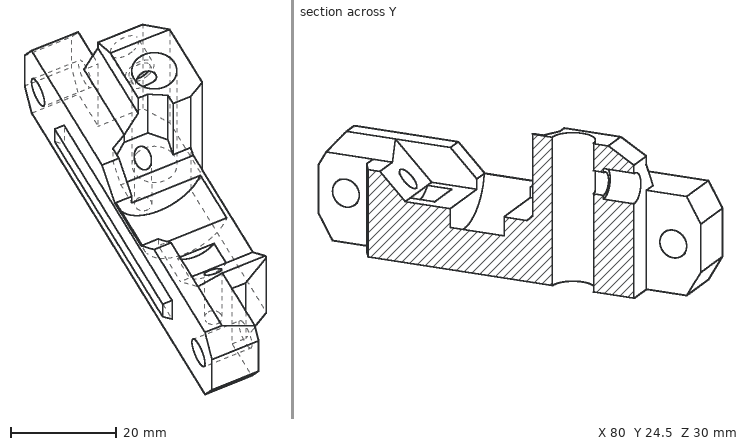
import cadquery as cq
import math


STEEP = math.tan(math.radians(60))

PLATE_LENGTH = 80.0
PLATE_HEIGHT = 20.0
PLATE_DEPTH = 9.9
CORNER_WIDTH = 3.0
CORNER_HEIGHT = CORNER_WIDTH * STEEP
MOUNT_HOLE_DIA = 5.6
MOUNT_HOLE_INSET = 5.8

RAIL_START = 16.9
RAIL_LENGTH = 46.1
RAIL_TOP = 13.0
RAIL_HEIGHT = 6.0
RAIL_DEPTH = 2.0

AXIS_Y = 9.4
AXIS_Z = 15.6

LIP_DEPTH = 3.6
TROUGH_FLOOR = 12.4
SCREW_HOLE_DIA = 3.3
LEFT_SCREW_X = 31.5
RIGHT_SCREW_X = 61.4
SCREW_TO_TROUGH_FLOOR = 2.2
TROUGH_START = LEFT_SCREW_X + SCREW_TO_TROUGH_FLOOR
TROUGH_END = RIGHT_SCREW_X - SCREW_TO_TROUGH_FLOOR

GROOVE_START = 38.6
GROOVE_WIDTH = 11.2
GROOVE_RADIUS = 9.3
NOTCH_FLOOR = 14.5

POCKET_RADIUS = 5.0
POCKET_LENGTH = 5.1

SLOPE_ANGLE = 20.0
SLOPE_DROP = (PLATE_DEPTH - LIP_DEPTH) * math.tan(math.radians(SLOPE_ANGLE))

BODY_HEIGHT = PLATE_HEIGHT - SLOPE_DROP
BODY_BACK = 19.0
BODY_END = 68.6
BODY_CORNER = 3.6

TOWER_START = 11.4
TOWER_END = 32.6
TOWER_BACK = 22.5
TOWER_HEIGHT = 30.0
TOWER_CHAMFER_LONG = 5.4
TOWER_CHAMFER_SHORT = TOWER_CHAMFER_LONG / STEEP
TOWER_RIGHT_CHAMFER = (TOWER_BACK - BODY_BACK) / STEEP

CLEARANCE_REACH = 3.0
CLEARANCE_CORNER = 1.9
CLEARANCE_HALF_WIDTH = AXIS_Y - LIP_DEPTH

BORE_X = 24.2
BORE_Y = 15.5
BORE_DIA = 8.6
SIDE_HOLE_Z = 22.2
SIDE_HOLE_DIA = 4.6
SIDE_COUNTERBORE_DIA = 6.1
SIDE_COUNTERBORE_DEPTH = 6.4


def prism_along_y(points, y_start, y_end):
    """Extrude an (x, z) outline from y_start to y_end."""
    return cq.Workplane("XZ", origin=(0, y_start, 0)).polyline(points).close().extrude(y_start - y_end)


def prism_along_x(points, x_start, x_end):
    """Extrude a (y, z) outline from x_start to x_end."""
    return cq.Workplane("YZ", origin=(x_start, 0, 0)).polyline(points).close().extrude(x_end - x_start)


def prism_along_z(points, height):
    """Extrude an (x, y) outline upward from the underside."""
    return cq.Workplane("XY").polyline(points).close().extrude(height)


def rod_along_x(y, z, radius, x_start, length):
    return cq.Workplane("YZ", origin=(x_start, 0, 0)).center(y, z).circle(radius).extrude(length)


def flared_opening(x_start, x_end, floor, top):
    """Trapezoid (x, z) outline with a flat floor and 45 degree ends."""
    rise = top - floor
    return [(x_start, floor), (x_end, floor), (x_end + rise, top), (x_start - rise, top)]


def mounting_plate():
    right_inset = PLATE_LENGTH - CORNER_WIDTH
    upper = PLATE_HEIGHT - CORNER_HEIGHT
    outline = [
        (CORNER_WIDTH, 0),
        (right_inset, 0),
        (PLATE_LENGTH, CORNER_HEIGHT),
        (PLATE_LENGTH, upper),
        (right_inset, PLATE_HEIGHT),
        (CORNER_WIDTH, PLATE_HEIGHT),
        (0, upper),
        (0, CORNER_HEIGHT),
    ]
    plate = prism_along_y(outline, 0, PLATE_DEPTH)
    slope = [
        (LIP_DEPTH, PLATE_HEIGHT),
        (PLATE_DEPTH, PLATE_HEIGHT - SLOPE_DROP),
        (PLATE_DEPTH, PLATE_HEIGHT),
    ]
    return plate.cut(prism_along_x(slope, TROUGH_END, PLATE_LENGTH))


def rail():
    profile = [
        (0, RAIL_TOP),
        (-RAIL_DEPTH, RAIL_TOP),
        (-RAIL_DEPTH, RAIL_TOP - RAIL_HEIGHT + RAIL_DEPTH),
        (0, RAIL_TOP - RAIL_HEIGHT),
    ]
    return prism_along_x(profile, RAIL_START, RAIL_START + RAIL_LENGTH)


def low_body():
    outline = [
        (TOWER_END, PLATE_DEPTH),
        (BODY_END, PLATE_DEPTH),
        (BODY_END, BODY_BACK - BODY_CORNER * STEEP),
        (BODY_END - BODY_CORNER, BODY_BACK),
        (TOWER_END, BODY_BACK),
    ]
    return prism_along_z(outline, BODY_HEIGHT)


def tower():
    outline = [
        (TOWER_START, PLATE_DEPTH),
        (TOWER_END, PLATE_DEPTH),
        (TOWER_END, BODY_BACK),
        (TOWER_END - TOWER_RIGHT_CHAMFER, TOWER_BACK),
        (TOWER_START + TOWER_CHAMFER_LONG, TOWER_BACK),
        (TOWER_START, TOWER_BACK - TOWER_CHAMFER_SHORT),
    ]
    gusset = [
        (PLATE_DEPTH, PLATE_HEIGHT),
        (PLATE_DEPTH - CORNER_WIDTH, PLATE_HEIGHT),
        (PLATE_DEPTH, PLATE_HEIGHT + CORNER_HEIGHT),
    ]
    top_corner = [
        (TOWER_START, TOWER_HEIGHT),
        (TOWER_START, TOWER_HEIGHT - TOWER_CHAMFER_SHORT),
        (TOWER_START + TOWER_CHAMFER_LONG, TOWER_HEIGHT),
    ]
    block = prism_along_z(outline, TOWER_HEIGHT)
    block = block.cut(prism_along_y(top_corner, PLATE_DEPTH, TOWER_BACK))
    return block.union(prism_along_x(gusset, TOWER_START, TOWER_END))


def trough():
    """Space above the trough floor, ending in the clearance around the left screw."""
    left = LEFT_SCREW_X - CLEARANCE_REACH
    corner_rise = CLEARANCE_CORNER * STEEP
    back = AXIS_Y + CLEARANCE_HALF_WIDTH
    plan = [
        (PLATE_LENGTH, LIP_DEPTH),
        (left + CLEARANCE_CORNER, LIP_DEPTH),
        (left, LIP_DEPTH + corner_rise),
        (left, back - corner_rise),
        (left + CLEARANCE_CORNER, back),
        (TOWER_END, back),
        (TOWER_END, BODY_BACK),
        (PLATE_LENGTH, BODY_BACK),
    ]
    profile = flared_opening(TROUGH_START, TROUGH_END, TROUGH_FLOOR, TOWER_HEIGHT)
    return prism_along_y(profile, LIP_DEPTH, BODY_BACK).intersect(prism_along_z(plan, TOWER_HEIGHT))


def lip_notch():
    profile = flared_opening(GROOVE_START, GROOVE_START + GROOVE_WIDTH, NOTCH_FLOOR, PLATE_HEIGHT)
    return prism_along_y(profile, 0, LIP_DEPTH)


def through_holes():
    mounts = (
        cq.Workplane("XZ")
        .pushPoints([
            (MOUNT_HOLE_INSET, PLATE_HEIGHT / 2),
            (PLATE_LENGTH - MOUNT_HOLE_INSET, PLATE_HEIGHT / 2),
        ])
        .circle(MOUNT_HOLE_DIA / 2)
        .extrude(-PLATE_DEPTH)
    )
    screws = (
        cq.Workplane("XY")
        .pushPoints([(LEFT_SCREW_X, AXIS_Y), (RIGHT_SCREW_X, AXIS_Y)])
        .circle(SCREW_HOLE_DIA / 2)
        .extrude(PLATE_HEIGHT)
    )
    bore = cq.Workplane("XY").center(BORE_X, BORE_Y).circle(BORE_DIA / 2).extrude(TOWER_HEIGHT)
    return mounts.union(screws).union(bore)


def side_hole():
    """Counterbored hole from the left face of the tower into its bore."""
    hole = rod_along_x(BORE_Y, SIDE_HOLE_Z, SIDE_HOLE_DIA / 2, TOWER_START, BORE_X - TOWER_START)
    counterbore = rod_along_x(
        BORE_Y, SIDE_HOLE_Z, SIDE_COUNTERBORE_DIA / 2, TOWER_START, SIDE_COUNTERBORE_DEPTH
    )
    return hole.union(counterbore)


wheel_groove = rod_along_x(AXIS_Y, AXIS_Z, GROOVE_RADIUS, GROOVE_START, GROOVE_WIDTH)
shaft_pocket = rod_along_x(AXIS_Y, AXIS_Z, POCKET_RADIUS, TROUGH_END - POCKET_LENGTH, POCKET_LENGTH)

result = mounting_plate().union(rail()).union(low_body()).union(tower())
for cutter in (trough(), lip_notch(), wheel_groove, shaft_pocket, through_holes(), side_hole()):
    result = result.cut(cutter)